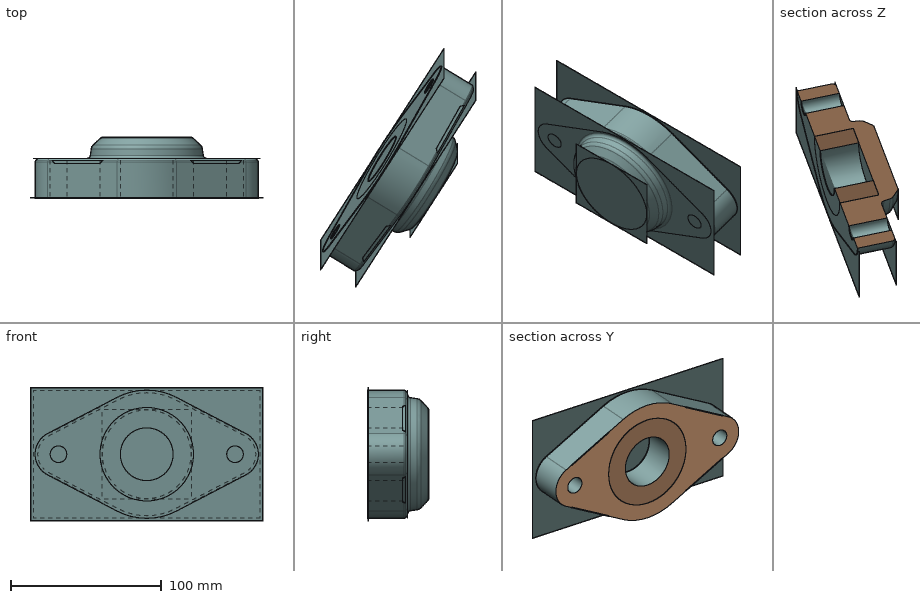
import cadquery as cq
import math

lug_spacing = 117.0
lug_radius = 15.5
hub_radius = 42.5
bolt_hole_radius = 5.5

flange_depth = 26.6
bevel_start = 24.3
bevel_round_end = 25.3
bevel_angle = math.radians(47)

recess_depth = 0.4
recess_front_y = 23.1
recess_length = 33.6
recess_centre_x = 46.1

cap_depth = 40.7
cap_foot_radius = 37.8
cap_shoulder_radius = 36.7
cap_top_radius = 30.0
cap_shoulder_y = 34.4
cap_foot_fillet = 2.2
cap_shoulder_fillet = 4.5
cap_top_fillet = 3.7

insert_radius = 31.0
bore_radius = 17.5
insert_depth = flange_depth

sheet_thickness = 0.1
front_sheet_y = 0.4
front_sheet_size = (153.97, 88.4)
rear_sheet_size = (150.0, 84.4)
cap_sheet_size = (59.1, 59.1)

slice_tolerance = 0.01

lug_x = lug_spacing / 2
tangent_cos = (hub_radius - lug_radius) / lug_x
tangent_sin = math.sqrt(1 - tangent_cos**2)


def plane_at(y):
    """XZ workplane at depth y, with its normal along +Y and its local axes (X, -Z)."""
    return cq.Workplane(cq.Plane(origin=(0, y, 0), xDir=(1, 0, 0), normal=(0, 1, 0)))


def disc(radius, start, end):
    return plane_at(start).circle(radius).extrude(end - start)


def sheet(size, start):
    return plane_at(start).rect(*size).extrude(sheet_thickness)


def flange_outline():
    """Hub and lug circles joined by their common tangents."""
    hub_x, hub_z = hub_radius * tangent_cos, hub_radius * tangent_sin
    end_x, end_z = lug_x + lug_radius * tangent_cos, lug_radius * tangent_sin
    tip_x = lug_x + lug_radius
    return (
        plane_at(0)
        .moveTo(-hub_x, hub_z)
        .threePointArc((0, hub_radius), (hub_x, hub_z))
        .lineTo(end_x, end_z)
        .threePointArc((tip_x, 0), (end_x, -end_z))
        .lineTo(hub_x, -hub_z)
        .threePointArc((0, -hub_radius), (-hub_x, -hub_z))
        .lineTo(-end_x, -end_z)
        .threePointArc((-tip_x, 0), (-end_x, end_z))
        .close()
    )


def thin_slice(y, reach):
    """Selector for edges lying at depth y and wholly within reach of the axis in X and Z."""
    outer = reach + slice_tolerance
    return cq.selectors.BoxSelector(
        (-outer, y - slice_tolerance, -outer),
        (outer, y + slice_tolerance, outer),
        boundingbox=True,
    )


def make_flange():
    """Oval block whose rear rim is a bevel blended into the wall."""
    round_radius = (bevel_round_end - bevel_start) / math.sin(bevel_angle)
    blend_length = round_radius * math.tan(bevel_angle / 2)
    bevel_height = flange_depth - bevel_start - blend_length
    bevel_inset = bevel_height * math.tan(bevel_angle)
    block = flange_outline().extrude(flange_depth)
    block = block.faces(">Y").chamfer(bevel_height, bevel_inset)
    corner = thin_slice(flange_depth - bevel_height, lug_x + lug_radius)
    return block.edges(corner).fillet(round_radius)


def make_cap():
    """Domed cover standing on the rear face of the flange."""
    profile = (
        cq.Workplane("XY")
        .moveTo(0, flange_depth)
        .lineTo(cap_foot_radius, flange_depth)
        .lineTo(cap_shoulder_radius, cap_shoulder_y)
        .lineTo(cap_top_radius, cap_depth)
        .lineTo(0, cap_depth)
        .close()
    )
    cap = profile.revolve(360, (0, 0, 0), (0, 1, 0))
    cap = cap.edges(cq.selectors.RadiusNthSelector(1)).fillet(cap_shoulder_fillet)
    return cap.faces(">Y").edges().fillet(cap_top_fillet)


def add_foot_fillet(body):
    """Blend the foot of the cap into the rear face of the flange."""
    foot = thin_slice(flange_depth, cap_foot_radius)
    return body.edges(foot).fillet(cap_foot_fillet)


def recess_cutter():
    """Trapezoidal recess in the slanted wall on the +X +Z side."""
    along = cq.Vector(tangent_sin, 0, -tangent_cos)
    outward = cq.Vector(tangent_cos, 0, tangent_sin)
    run = (recess_centre_x - hub_radius * tangent_cos) / tangent_sin
    wall_depth = hub_radius - recess_depth
    origin = outward * wall_depth + along * run
    half_length = recess_length / 2
    height = flange_depth - recess_front_y
    floor = cq.Workplane(cq.Plane(origin=origin, xDir=along, normal=outward))
    return (
        floor.moveTo(-half_length, recess_front_y)
        .lineTo(half_length, recess_front_y)
        .lineTo(half_length + height, flange_depth)
        .lineTo(-half_length - height, flange_depth)
        .close()
        .extrude(2 * recess_depth)
    )


def make_housing():
    body = add_foot_fillet(make_flange().union(make_cap()))

    corner_recess = recess_cutter()
    upper_recesses = corner_recess.union(corner_recess.mirror("YZ"))
    body = body.cut(upper_recesses).cut(upper_recesses.mirror("XY"))

    for x in (-lug_x, lug_x):
        body = body.cut(disc(bolt_hole_radius, 0, flange_depth).translate((x, 0, 0)))

    body = body.union(sheet(front_sheet_size, front_sheet_y))
    body = body.union(sheet(rear_sheet_size, flange_depth - sheet_thickness))
    body = body.union(sheet(cap_sheet_size, cap_depth - sheet_thickness))
    return body.cut(disc(insert_radius, 0, insert_depth))


def make_insert():
    """Ring filling the housing recess, its bore closed by a thin web near the front."""
    ring = disc(insert_radius, 0, insert_depth).cut(disc(bore_radius, 0, insert_depth))
    web = disc(bore_radius, front_sheet_y, front_sheet_y + sheet_thickness)
    return ring.union(web)


housing = make_housing()
insert = make_insert()
result = cq.Compound.makeCompound([housing.val(), insert.val()])